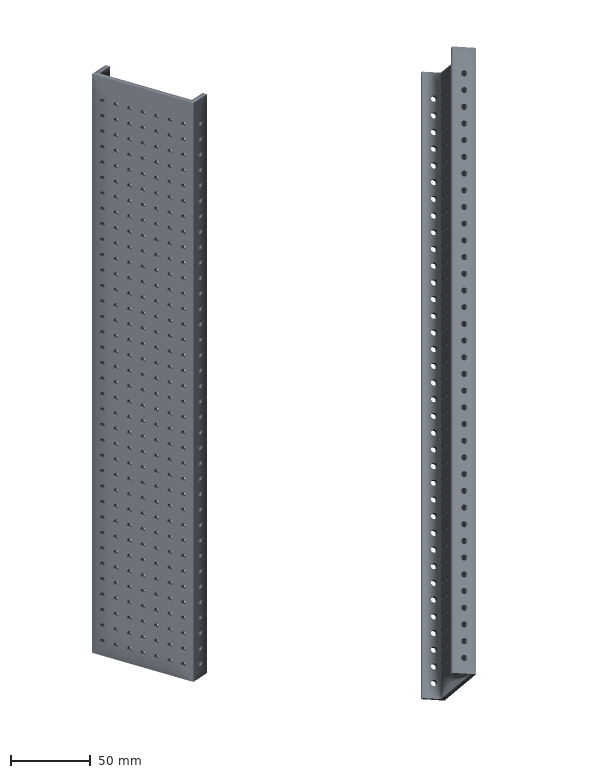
import cadquery as cq

length = 403.0
width = 76.0
depth = 15.5
thickness = 3.2

row_count = 36
bottom_margin = 10.0
top_margin = 17.0
row_pitch = (length - bottom_margin - top_margin) / (row_count - 1)
row_heights = [bottom_margin + row * row_pitch for row in range(row_count)]

web_hole_diameter = 3.25
column_count = 7
side_margin = 7.5
column_pitch = (width - 2 * side_margin) / (column_count - 1)
column_places = [(column - (column_count - 1) / 2) * column_pitch for column in range(column_count)]

flange_hole_diameter = 3.85
flange_hole_y = depth / 2


def make_channel():
    """U-shaped channel, open toward +Y, with its web on the plane Y = 0."""
    outer = cq.Workplane("XY").box(width, depth, length, centered=(True, False, False))
    trough = (
        cq.Workplane("XY")
        .box(width - 2 * thickness, depth - thickness, length, centered=(True, False, False))
        .translate((0, thickness, 0))
    )
    return outer.cut(trough)


def make_web_holes():
    """Grid of pins along Y, as long as the web is thick."""
    places = [(x, z) for x in column_places for z in row_heights]
    return (
        cq.Workplane("XZ")
        .pushPoints(places)
        .circle(web_hole_diameter / 2)
        .extrude(-thickness)
    )


def make_flange_holes():
    """Column of pins along X that cross both flanges."""
    places = [(flange_hole_y, z) for z in row_heights]
    return (
        cq.Workplane("YZ")
        .pushPoints(places)
        .circle(flange_hole_diameter / 2)
        .extrude(width / 2, both=True)
    )


result = make_channel().cut(make_web_holes()).cut(make_flange_holes())